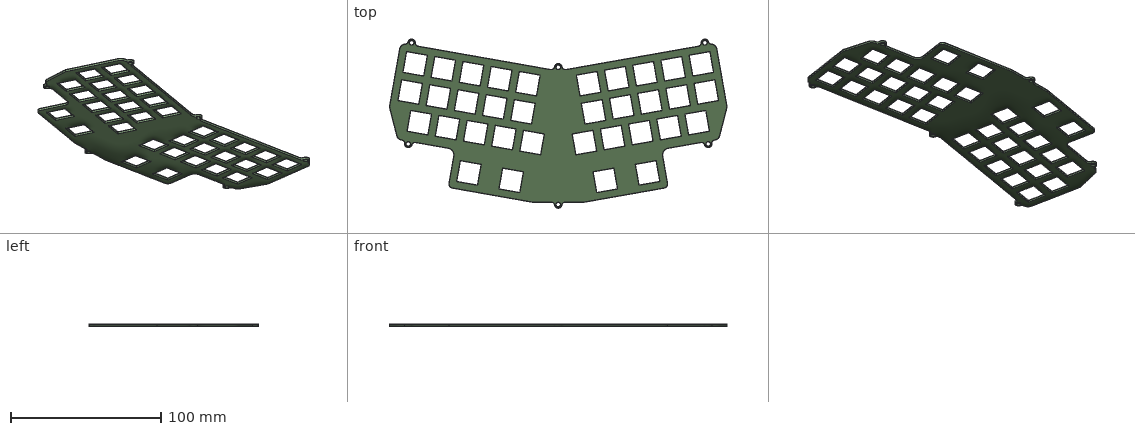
import cadquery as cq
import math


plate_length = 225
plate_width = 112.7
thickness = 1.5
wing_angle = 10

switch_size = 14.0
keys_per_row = 5
row_span = 76.3
key_pitch = row_span / (keys_per_row - 1)
inner_key_u = 24.5
top_row_v = 22.7
home_row_v = top_row_v - key_pitch
bottom_row_v = home_row_v - key_pitch
bottom_row_stagger = key_pitch / 2
thumb_drop = 27.2
thumb_v = bottom_row_v - thumb_drop
thumb_inner_u = 24.3
thumb_spacing = 1.5 * key_pitch
thumb_outer_u = thumb_inner_u + thumb_spacing

key_margin = 12.0
bottom_row_margin = 13.5
wing_top_v = top_row_v + key_margin
wing_end_u = inner_key_u + row_span + key_margin
wing_bottom_v = bottom_row_v - bottom_row_margin
thumb_end_u = thumb_outer_u + key_margin
thumb_bottom_v = thumb_v - key_margin
lower_corner_u = 103.5
top_flat_y = 36.2
bottom_flat_y = -52.5
wing_corner_radius = 4.0
notch_radius = 4.5
thumb_corner_radius = 3.0

lug_radius = 2.5
lug_hole_diameter = 3.0
lug_fillet = 2.0
outer_lug_y = plate_width / 2 - lug_radius
upper_lug = (97.7, outer_lug_y)
lower_lug = (100.0, -13.5)
top_middle_lug = (0, 37.5)
bottom_middle_lug = (0, -outer_lug_y)

wing_cos = math.cos(math.radians(wing_angle))
wing_sin = math.sin(math.radians(wing_angle))


def wing_point(u, v):
    """Plate XY position of a point given in +X wing coordinates."""
    return (u * wing_cos - v * wing_sin, u * wing_sin + v * wing_cos)


def wing_edge_x(v, y):
    """X where the wing line at constant v reaches the height y."""
    return (y * wing_cos - v) / wing_sin


def mirrored(point):
    return (-point[0], point[1])


def fillet_corners(body, points, radius):
    """Round the upright edges at each point and at its mirror image."""
    for x, y in points + [mirrored(p) for p in points]:
        nearest = cq.selectors.NearestToPointSelector((x, y, thickness / 2))
        body = body.edges("|Z").edges(nearest).fillet(radius)
    return body


def make_plate():
    top_corner = wing_point(wing_end_u, wing_top_v)
    tip_x = plate_length / 2
    tip = (tip_x, (wing_end_u - tip_x * wing_cos) / wing_sin)
    lower_corner = wing_point(lower_corner_u, wing_bottom_v)
    notch_corner = wing_point(thumb_end_u, wing_bottom_v)
    thumb_corner = wing_point(thumb_end_u, thumb_bottom_v)
    right_side = [
        (wing_edge_x(wing_top_v, top_flat_y), top_flat_y),
        top_corner,
        tip,
        lower_corner,
        notch_corner,
        thumb_corner,
        (wing_edge_x(thumb_bottom_v, bottom_flat_y), bottom_flat_y),
    ]
    left_side = [mirrored(p) for p in reversed(right_side)]
    plate = cq.Workplane("XY").polyline(right_side + left_side).close().extrude(thickness)
    plate = fillet_corners(plate, [top_corner, lower_corner], wing_corner_radius)
    plate = fillet_corners(plate, [notch_corner], notch_radius)
    return fillet_corners(plate, [thumb_corner], thumb_corner_radius)


def add_lugs(plate, centers):
    """Join round lugs to the edge, blend their roots and drill them."""
    for x, y in centers:
        lug = cq.Workplane("XY").circle(lug_radius).extrude(thickness)
        inward = -90 if y > 0 else 90
        lug = lug.rotate((0, 0, 0), (0, 0, 1), inward).translate((x, y, 0))
        plate = plate.union(lug)
        around_lug = cq.selectors.BoxSelector(
            (x - lug_radius, y - lug_radius, 0),
            (x + lug_radius, y + lug_radius, thickness),
        )
        plate = plate.edges("|Z").edges(around_lug).fillet(lug_fillet)
    holes = cq.Workplane("XY").pushPoints(centers).circle(lug_hole_diameter / 2).extrude(thickness)
    return plate.cut(holes)


def make_switch_cutouts():
    """Square cut-outs of both wings, aligned with their key rows."""
    bottom_row_u = inner_key_u - bottom_row_stagger
    keys = [(thumb_inner_u, thumb_v), (thumb_outer_u, thumb_v)]
    rows = [(inner_key_u, top_row_v), (inner_key_u, home_row_v), (bottom_row_u, bottom_row_v)]
    for first_u, v in rows:
        keys += [(first_u + i * key_pitch, v) for i in range(keys_per_row)]
    wing = cq.Workplane("XY").pushPoints(keys).rect(switch_size, switch_size).extrude(thickness)
    wing = wing.rotate((0, 0, 0), (0, 0, 1), wing_angle)
    return wing.union(wing.mirror("YZ"))


lug_centers = [
    upper_lug,
    mirrored(upper_lug),
    lower_lug,
    mirrored(lower_lug),
    top_middle_lug,
    bottom_middle_lug,
]
result = add_lugs(make_plate(), lug_centers).cut(make_switch_cutouts())